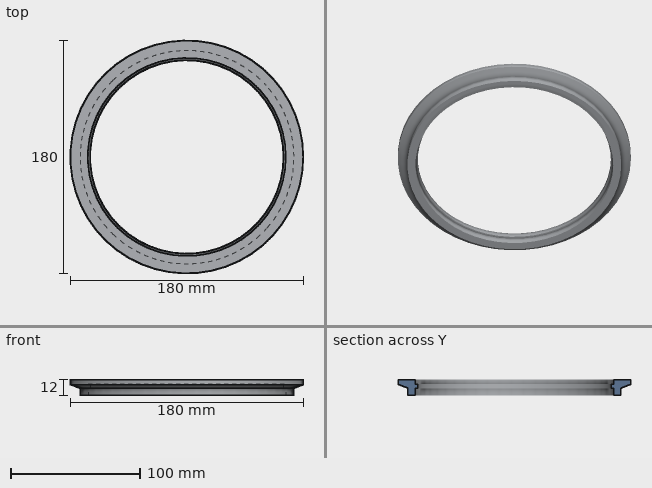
import cadquery as cq

flange_diameter = 180.0
hub_diameter = 165.1
height = 12.0

hub_height = 5.4
flange_thickness = 3.8

seat_diameter = 153.0
lip_diameter = 149.3
counterbore_diameter = 152.9
seat_depth = 3.2
lip_thickness = 3.5

flange_radius = flange_diameter / 2
hub_radius = hub_diameter / 2
seat_radius = seat_diameter / 2
lip_radius = lip_diameter / 2
counterbore_radius = counterbore_diameter / 2
flange_underside = height - flange_thickness
lip_top = height - seat_depth
lip_underside = lip_top - lip_thickness

section = (
    cq.Workplane("XZ")
    .moveTo(counterbore_radius, 0)
    .lineTo(hub_radius, 0)
    .lineTo(hub_radius, hub_height)
    .lineTo(flange_radius, flange_underside)
    .lineTo(flange_radius, height)
    .lineTo(seat_radius, height)
    .lineTo(seat_radius, lip_top)
    .lineTo(lip_radius, lip_top)
    .lineTo(lip_radius, lip_underside)
    .lineTo(counterbore_radius, lip_underside)
    .close()
)

result = section.revolve(360, (0, 0, 0), (0, 1, 0))